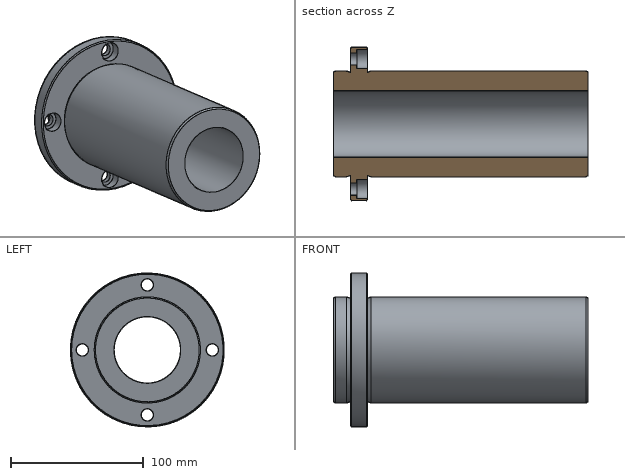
import cadquery as cq

LENGTH = 192.0
BODY_DIAMETER = 80.0
BORE_DIAMETER = 50.0

FLANGE_DIAMETER = 116.0
FLANGE_START = 12.9
FLANGE_THICKNESS = 13.0
FLANGE_CHAMFER = 1.0

BEVEL_DEPTH = 1.0
END_BEVEL_LENGTH = 1.7
PILOT_RELIEF_LENGTH = 2.9
SLEEVE_RELIEF_LENGTH = 2.3

BOLT_COUNT = 4
BOLT_CIRCLE_DIAMETER = 98.0
BOLT_HOLE_DIAMETER = 9.0
COUNTERBORE_DIAMETER = 14.0
COUNTERBORE_DEPTH = 8.0

flange_end = FLANGE_START + FLANGE_THICKNESS
x_min = -LENGTH / 2


def cylinder(diameter, start, length):
    """Solid cylinder on the X axis, starting a given distance from the pilot end face."""
    plane = cq.Workplane("YZ", origin=(x_min + start, 0, 0))
    return plane.circle(diameter / 2).extrude(length)


def beveled_sleeve(start, end, start_bevel, end_bevel):
    """Body-diameter cylinder with a shallow bevel of the given length at each end."""
    radius = BODY_DIAMETER / 2
    end_radius = radius - BEVEL_DEPTH
    profile = (
        cq.Workplane("XY")
        .moveTo(x_min + start, 0)
        .lineTo(x_min + start, end_radius)
        .lineTo(x_min + start + start_bevel, radius)
        .lineTo(x_min + end - end_bevel, radius)
        .lineTo(x_min + end, end_radius)
        .lineTo(x_min + end, 0)
        .close()
    )
    return profile.revolve(360, (0, 0, 0), (1, 0, 0))


def bolt_pattern(diameter, start, length):
    """Cylinders at the bolt positions, one on each of the Y and Z half-axes."""
    plane = cq.Workplane("YZ", origin=(x_min + start, 0, 0))
    centers = plane.polarArray(BOLT_CIRCLE_DIAMETER / 2, 0, 360, BOLT_COUNT)
    return centers.circle(diameter / 2).extrude(length)


pilot = beveled_sleeve(0, FLANGE_START, END_BEVEL_LENGTH, PILOT_RELIEF_LENGTH)
main_sleeve = beveled_sleeve(flange_end, LENGTH, SLEEVE_RELIEF_LENGTH, END_BEVEL_LENGTH)

flange = cylinder(FLANGE_DIAMETER, FLANGE_START, FLANGE_THICKNESS).edges().chamfer(FLANGE_CHAMFER)

body = flange.union(pilot).union(main_sleeve)

bolt_holes = bolt_pattern(BOLT_HOLE_DIAMETER, FLANGE_START, FLANGE_THICKNESS)
counterbores = bolt_pattern(COUNTERBORE_DIAMETER, flange_end - COUNTERBORE_DEPTH, COUNTERBORE_DEPTH)
bore = cylinder(BORE_DIAMETER, 0, LENGTH)

result = body.cut(bolt_holes).cut(counterbores).cut(bore)